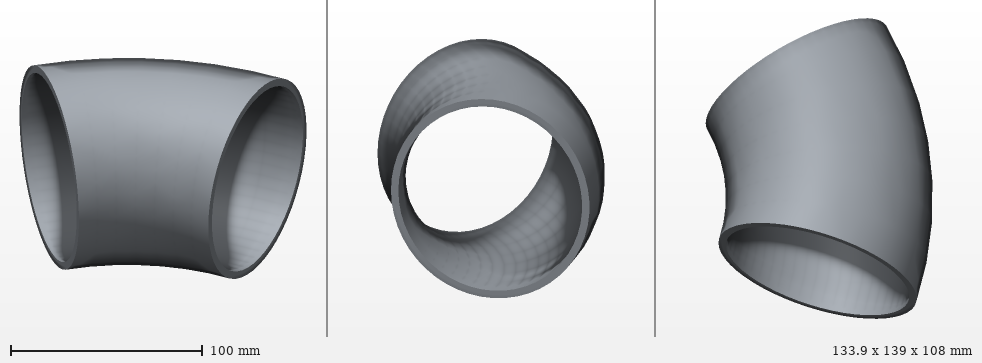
import cadquery as cq
import math

bend_angle = 45.0
elbow_depth = 139.0
outer_diameter = 108.0
wall_thickness = 4.0

outer_radius = outer_diameter / 2
inner_radius = outer_radius - wall_thickness
outside_bend_radius = elbow_depth / math.sin(math.radians(bend_angle))
bend_radius = outside_bend_radius - outer_radius

axis_start = (bend_radius, 0)
axis_end = (bend_radius, -1)

result = (
    cq.Workplane("XZ")
    .circle(outer_radius)
    .circle(inner_radius)
    .revolve(bend_angle, axis_start, axis_end)
)